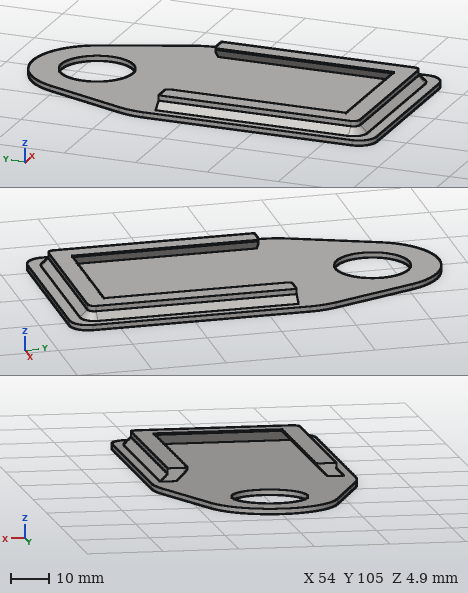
import cadquery as cq
import math

body_width = 54.0
total_length = 105.0
plate_thickness = 1.5
shoulder_y = 67.2
shoulder_radius = 20.0
corner_radius = 5.0
eye_radius = 18.0
hole_diameter = 20.0
eye_y = total_length - eye_radius

total_height = 4.9
rim_height = 1.5
rim_width = 44.6
rim_start_y = 5.2
rim_end_y = 61.0
rim_corner_radius = 1.9
flare_angle = 45.0
foot_height = total_height - plate_thickness - rim_height
foot_spread = foot_height * math.tan(math.radians(flare_angle))

wall_width = 5.4
lip_height = 0.4
rail_tip_radius = 1.0
slot_width = rim_width - 2 * wall_width
slot_start_y = rim_start_y + wall_width
undercut_height = total_height - plate_thickness - lip_height
undercut_spread = undercut_height * math.tan(math.radians(flare_angle))

end_allowance = 10.5

selection_margin = 1.0


def block(width, start_y, end_y, z):
    """Rectangle centred on X = 0, spanning start_y to end_y at height z."""
    center = (0, (start_y + end_y) / 2, z)
    return cq.Workplane("XY", origin=center).rect(width, end_y - start_y)


def rounded_sketch(width, start_y, end_y, radius):
    """Rectangle like that of block, with all four corners rounded."""
    sketch = cq.Sketch().rect(width, end_y - start_y).vertices().fillet(radius)
    return sketch.moved(cq.Location(cq.Vector(0, (start_y + end_y) / 2, 0)))


def vertical_edges_at(y):
    """Selector for the vertical plate edges at the given Y."""
    near_corner = (-body_width, y - selection_margin, 0)
    far_corner = (body_width, y + selection_margin, plate_thickness)
    in_band = cq.selectors.BoxSelector(near_corner, far_corner)
    return cq.selectors.ParallelDirSelector(cq.Vector(0, 0, 1)) & in_band


def make_plate():
    """Tag outline with rounded corners and the hanging hole."""
    half_width = body_width / 2
    rise = eye_y - shoulder_y
    eye_distance = math.hypot(half_width, rise)
    slant = math.atan2(half_width, rise) - math.asin(eye_radius / eye_distance)
    tangent_x = eye_radius * math.cos(slant)
    tangent_y = eye_y + eye_radius * math.sin(slant)
    plate = (
        cq.Workplane("XY")
        .moveTo(-half_width, 0)
        .lineTo(half_width, 0)
        .lineTo(half_width, shoulder_y)
        .lineTo(tangent_x, tangent_y)
        .threePointArc((0, total_length), (-tangent_x, tangent_y))
        .lineTo(-half_width, shoulder_y)
        .close()
        .extrude(plate_thickness)
    )
    plate = plate.edges(vertical_edges_at(0)).fillet(corner_radius)
    plate = plate.edges(vertical_edges_at(shoulder_y)).fillet(shoulder_radius)
    hole = cq.Workplane("XY").center(0, eye_y).circle(hole_diameter / 2).extrude(plate_thickness)
    return plate.cut(hole)


def make_frame():
    """Flared foot and straight rim, cut square at the open end and slotted."""
    far_y = rim_end_y + end_allowance
    rim_bottom = total_height - rim_height
    foot = (
        cq.Workplane("XY", origin=(0, 0, plate_thickness))
        .placeSketch(rounded_sketch(
            rim_width + 2 * foot_spread,
            rim_start_y - foot_spread,
            far_y,
            rim_corner_radius + foot_spread,
        ))
        .extrude(foot_height, taper=flare_angle)
    )
    rim = (
        cq.Workplane("XY", origin=(0, 0, rim_bottom))
        .placeSketch(rounded_sketch(rim_width, rim_start_y, far_y, rim_corner_radius))
        .extrude(rim_height)
    )
    past_end = block(2 * body_width, rim_end_y, far_y, 0).extrude(total_height)
    return foot.union(rim).cut(past_end).cut(make_slot())


def make_slot():
    """Space inside the frame, with rounded mouth corners and undercut walls."""
    far_y = rim_end_y + end_allowance
    half_width = slot_width / 2
    mouth_half_width = half_width + rail_tip_radius
    arc_start_y = rim_end_y - rail_tip_radius
    opening = (
        cq.Workplane("XY", origin=(0, 0, plate_thickness))
        .moveTo(-half_width, slot_start_y)
        .lineTo(half_width, slot_start_y)
        .lineTo(half_width, arc_start_y)
        .radiusArc((mouth_half_width, rim_end_y), rail_tip_radius)
        .lineTo(-mouth_half_width, rim_end_y)
        .radiusArc((-half_width, arc_start_y), rail_tip_radius)
        .close()
        .extrude(total_height)
    )
    undercut = block(
        slot_width + 2 * undercut_spread,
        slot_start_y - undercut_spread,
        far_y + undercut_spread,
        plate_thickness,
    ).extrude(undercut_height, taper=flare_angle)
    return opening.union(undercut)


result = make_plate().union(make_frame())